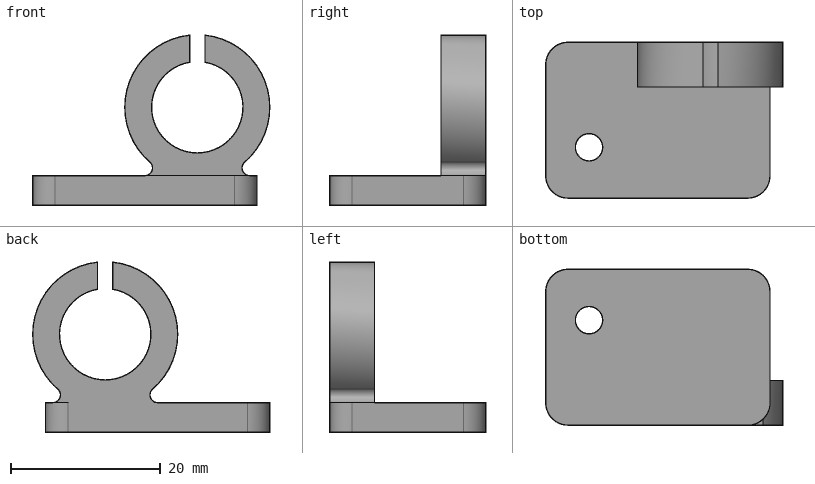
import cadquery as cq
import math

plate_length = 30.0
plate_depth = 20.85
plate_thickness = 4.0
corner_radius = 3.0

hole_diameter = 3.6
hole_x = 5.8
hole_y = 6.8

overall_length = 31.7
overall_height = 22.75
ring_radius = 9.7
bore_radius = 6.1
ring_width = 6.0
slot_width = 2.0
ring_x = overall_length - ring_radius
ring_z = overall_height - math.sqrt(ring_radius**2 - (slot_width / 2) ** 2)

neck_radius = 1.0


def make_plate():
    plate = cq.Workplane("XY").box(plate_length, plate_depth, plate_thickness, centered=False)
    plate = plate.edges("|Z").fillet(corner_radius)
    hole = cq.Workplane("XY").center(hole_x, hole_y).circle(hole_diameter / 2).extrude(plate_thickness)
    return plate.cut(hole)


def ring_plane():
    """Plane on the back face, centred on the ring axis; extruding goes forward."""
    return cq.Workplane("XZ", origin=(ring_x, plate_depth, ring_z))


def make_neck():
    """Web under the ring, its sides hollowed by arcs tangent to the ring and plate."""
    plate_top = plate_thickness - ring_z
    arc_z = plate_top + neck_radius
    centre_distance = ring_radius + neck_radius
    arc_x = math.sqrt(centre_distance**2 - arc_z**2)
    touch_x = arc_x * ring_radius / centre_distance
    touch_z = arc_z * ring_radius / centre_distance

    toward_ring = math.atan2(-arc_z, -arc_x) % (2 * math.pi)
    middle_angle = (toward_ring + 3 * math.pi / 2) / 2
    middle_x = arc_x + neck_radius * math.cos(middle_angle)
    middle_z = arc_z + neck_radius * math.sin(middle_angle)

    return (
        ring_plane()
        .moveTo(-arc_x, plate_top)
        .lineTo(arc_x, plate_top)
        .threePointArc((middle_x, middle_z), (touch_x, touch_z))
        .lineTo(-touch_x, touch_z)
        .threePointArc((-middle_x, middle_z), (-arc_x, plate_top))
        .close()
        .extrude(ring_width)
    )


def make_split_ring():
    ring = ring_plane().circle(ring_radius).extrude(ring_width).union(make_neck())
    bore = ring_plane().circle(bore_radius).extrude(ring_width)
    slot = ring_plane().center(0, ring_radius / 2).rect(slot_width, ring_radius).extrude(ring_width)
    return ring.cut(bore).cut(slot)


result = make_plate().union(make_split_ring())